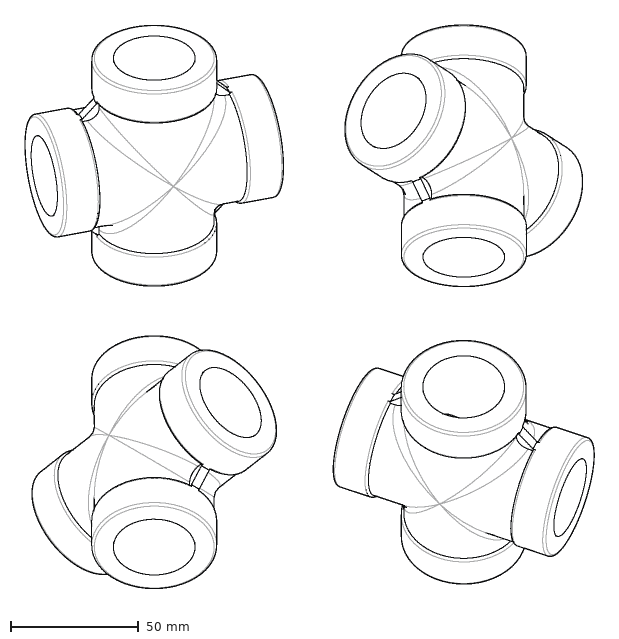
import cadquery as cq

span = 90.9
collar_diameter = 49.0
bore_diameter = 32.0
collar_length = 15.0
edge_size = 1.0
blend_radius = 5.0
rib_width = 4.0

half_span = span / 2
collar_radius = collar_diameter / 2
body_radius = collar_radius - edge_size
shoulder = half_span - collar_length


def through_cylinder(plane, radius):
    """Cylinder running the full span, centred on the origin."""
    return cq.Workplane(plane).circle(radius).extrude(half_span, both=True)


def blended_body():
    """Two equal crossing tubes with their meeting curves rounded."""
    cross = through_cylinder("XY", body_radius).union(through_cylinder("XZ", body_radius))
    return cross.edges("%ELLIPSE").fillet(blend_radius)


def collar_cylinder():
    """Square-edged cylinder at the upper end."""
    return cq.Workplane("XY", origin=(0, 0, shoulder)).circle(collar_radius).extrude(collar_length)


def collar():
    """Upper collar, rounded at both ends but left square where the ribs meet it."""
    square_pads = (
        cq.Workplane("XY", origin=(0, 0, shoulder))
        .rect(rib_width, collar_diameter)
        .extrude(edge_size)
        .intersect(collar_cylinder())
    )
    return collar_cylinder().edges("%CIRCLE").fillet(edge_size).union(square_pads)


def corner_rib():
    """Triangular web between the upper collar and the +Y collar."""
    outline = [
        (0, 0),
        (shoulder, 0),
        (shoulder, collar_radius),
        (collar_radius, shoulder),
        (0, shoulder),
    ]
    return (
        cq.Workplane("YZ")
        .polyline(outline)
        .close()
        .extrude(rib_width / 2, both=True)
    )


result = blended_body()
for quarter_turn in range(4):
    angle = 90 * quarter_turn
    result = result.union(collar().rotate((0, 0, 0), (1, 0, 0), angle))
    result = result.union(corner_rib().rotate((0, 0, 0), (1, 0, 0), angle))

for bore_plane in ("XY", "XZ"):
    result = result.cut(through_cylinder(bore_plane, bore_diameter / 2))